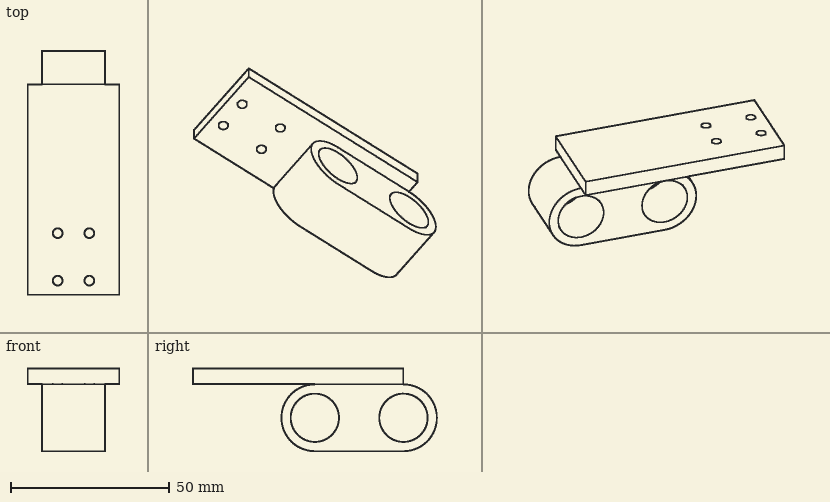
import cadquery as cq

bore_diameter = 15.2
wall = 3.0
bore_spacing = 28.0
link_width = 20.0
link_height = bore_diameter + 2 * wall
link_length = bore_spacing + link_height

plate_width = 29.0
plate_length = 66.5
plate_thickness = 5.0

screw_diameter = 3.0
screw_spacing_x = 10.0
screw_spacing_y = 15.0
screw_end_margin = 4.5

plate_bottom = link_height / 2
plate_front_y = -plate_length


def make_link():
    """Rounded-end bar along Y, with two bores through it along X."""
    middle_y = -bore_spacing / 2
    profile = cq.Workplane("YZ").center(middle_y, 0)
    bar = profile.slot2D(link_length, link_height).extrude(link_width / 2, both=True)
    bores = (
        profile.pushPoints([(-bore_spacing / 2, 0), (bore_spacing / 2, 0)])
        .circle(bore_diameter / 2)
        .extrude(link_width / 2, both=True)
    )
    return bar.cut(bores)


def make_plate():
    """Rectangular plate with a 2 x 2 pattern of through screw holes."""
    plate = cq.Workplane("XY").box(
        plate_width, plate_length, plate_thickness, centered=(True, False, False)
    )
    screw_center_y = screw_end_margin + screw_spacing_y / 2
    screw_holes = (
        cq.Workplane("XY")
        .center(0, screw_center_y)
        .rarray(screw_spacing_x, screw_spacing_y, 2, 2)
        .circle(screw_diameter / 2)
        .extrude(plate_thickness)
    )
    return plate.cut(screw_holes).translate((0, plate_front_y, plate_bottom))


result = make_link().union(make_plate())